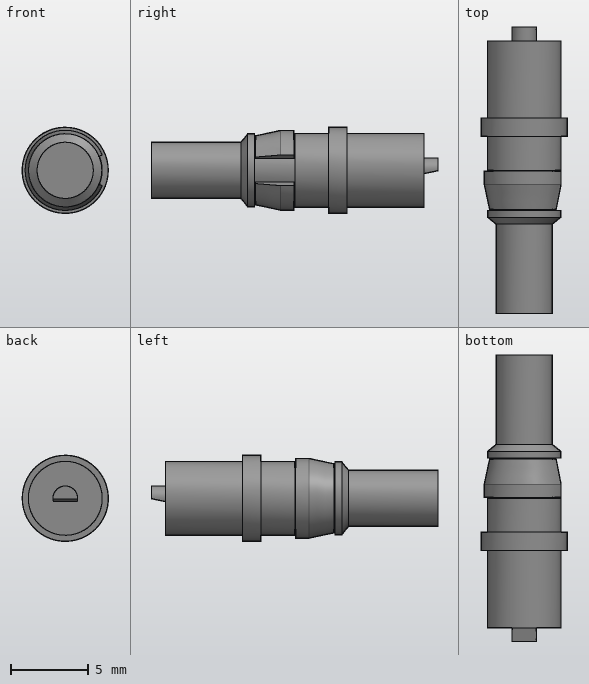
import cadquery as cq

SHANK_DIA = 3.65
BODY_DIA = 4.8
COLLAR_DIA = 4.75
FLANGE_DIA = 5.6
GROOVE_DIA = 4.0
CLIP_DIA = 5.2
CLIP_SMALL_DIA = 4.5
PIN_DIA = 1.6

SHANK_LENGTH = 5.8
COLLAR_CONE_LENGTH = 0.45
COLLAR_LAND_LENGTH = 0.45
GROOVE_LENGTH = 2.6
FRONT_BODY_LENGTH = 2.2
FLANGE_LENGTH = 1.2
REAR_BODY_LENGTH = 5.0
PIN_LENGTH = 0.9

CLIP_CLEARANCE = 0.06
CLIP_LAND_LENGTH = 0.85
CLIP_GAP_ANGLE = 45.0

RAMP_TIP_Z = -0.03
RAMP_ROOT_Z = -0.22

FLANGE_END = FLANGE_LENGTH
BODY_END = FLANGE_END + REAR_BODY_LENGTH
PIN_END = BODY_END + PIN_LENGTH
GROOVE_END = -FRONT_BODY_LENGTH
GROOVE_START = GROOVE_END - GROOVE_LENGTH
COLLAR_LAND_START = GROOVE_START - COLLAR_LAND_LENGTH
SHANK_END = COLLAR_LAND_START - COLLAR_CONE_LENGTH
SHANK_START = SHANK_END - SHANK_LENGTH


def cylinder(diameter, start, end):
    """Solid cylinder on the Y axis between two stations."""
    disc = cq.Workplane("XZ", origin=(0, start, 0)).circle(diameter / 2)
    return disc.extrude(start - end)


def make_collar():
    """Front collar: a cone rising from the shank to a short cylindrical land."""
    profile = (
        cq.Workplane("XY")
        .moveTo(0, SHANK_END)
        .lineTo(SHANK_DIA / 2, SHANK_END)
        .lineTo(COLLAR_DIA / 2, COLLAR_LAND_START)
        .lineTo(COLLAR_DIA / 2, GROOVE_START)
        .lineTo(0, GROOVE_START)
        .close()
    )
    return profile.revolve(360, (0, 0, 0), (0, 1, 0))


def make_clip():
    """C-shaped clip with a tapered lead-in; its gap is centred on +X."""
    bore_radius = GROOVE_DIA / 2
    land_radius = CLIP_DIA / 2
    small_radius = CLIP_SMALL_DIA / 2
    clip_start = GROOVE_START + CLIP_CLEARANCE
    clip_end = GROOVE_END - CLIP_CLEARANCE
    land_start = clip_end - CLIP_LAND_LENGTH
    section = (
        cq.Workplane("XY")
        .moveTo(bore_radius, clip_start)
        .lineTo(small_radius, clip_start)
        .lineTo(land_radius, land_start)
        .lineTo(land_radius, clip_end)
        .lineTo(bore_radius, clip_end)
        .close()
    )
    clip = section.revolve(360 - CLIP_GAP_ANGLE, (0, 0, 0), (0, 1, 0))
    return clip.rotate((0, 0, 0), (0, 1, 0), CLIP_GAP_ANGLE / 2)


def make_pin():
    """End pin with its underside cut away by a flat ramp."""
    pin = cylinder(PIN_DIA, BODY_END, PIN_END)
    cut_bottom = -PIN_DIA
    relief = (
        cq.Workplane("YZ")
        .moveTo(BODY_END, RAMP_ROOT_Z)
        .lineTo(PIN_END, RAMP_TIP_Z)
        .lineTo(PIN_END, cut_bottom)
        .lineTo(BODY_END, cut_bottom)
        .close()
        .extrude(PIN_DIA, both=True)
    )
    return pin.cut(relief)


result = (
    cylinder(SHANK_DIA, SHANK_START, SHANK_END)
    .union(make_collar())
    .union(cylinder(GROOVE_DIA, GROOVE_START, GROOVE_END))
    .union(make_clip())
    .union(cylinder(BODY_DIA, GROOVE_END, BODY_END))
    .union(cylinder(FLANGE_DIA, 0, FLANGE_END))
    .union(make_pin())
)